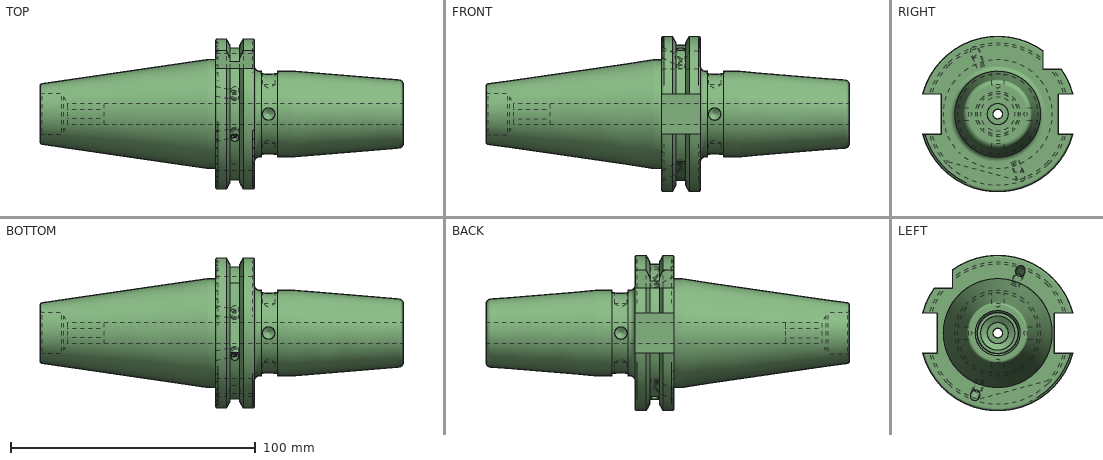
import cadquery as cq
import math


length = 148.4
taper_length = 68.4
taper_slope = 7 / 24 / 2
gauge_radius = 22.3
taper_end_radius = gauge_radius - taper_length * taper_slope
taper_end_fillet = 1.0

flange_start = taper_length + 3.3
flange_end = taper_length + 19.1
flange_radius = 31.8
flange_fillet = 0.9
groove_center = 79.5
groove_floor_radius = 28.2
groove_half_width = 2.0
groove_wall_height = 0.9
groove_flank_angle = 30.0
flank_radius = groove_floor_radius + groove_wall_height
flank_run = (flange_radius - flank_radius) * math.tan(math.radians(groove_flank_angle))
groove_half_mouth = groove_half_width + flank_run

keyway_width = 16.3
keyway_depth_front = 23.2
keyway_depth_back = 24.8
corner_notch_y = 18.5
corner_notch_z = 18.4
groove_flat_distance = 24.0
groove_flat_angle = 15.0

collar_radius = 17.5
collar_end = 90.4
collar_fillet = 2.1
neck_radius = 16.5
neck_end = 97.0
band_end = 103.7
nose_end_radius = 13.8
nose_fillet = 2.1

balance_hole_count = 4
balance_hole_x = 93.3
balance_hole_radius = 2.5
balance_hole_depth = 4.5
drill_tip_angle = 118.0

mouth_radius = 9.2
pilot_radius = 8.5
pilot_depth = 8.2
step_radius = 8.3
step_length = 0.6
thread_radius = 7.0
thread_depth = 9.6
through_radius = 4.3
drill_tip_slope = math.tan(math.radians(drill_tip_angle / 2))
thread_tip_end = thread_depth + (thread_radius - through_radius) / drill_tip_slope

coolant_angles = (20.0, 200.0)
coolant_hole_radius = 2.0
coolant_hole_distance = 27.0
coolant_tilt = 30.0
cross_hole_radius = 1.6
plug_recess = 6.2
plug_length = 1.5

screw_start = thread_tip_end
screw_length = 14.8
screw_hole_radius = 2.0


def revolve_about_axis(outline):
    return outline.close().revolve(360, (0, 0, 0), (1, 0, 0))


def turned_body():
    outline = (
        cq.Workplane("XY")
        .lineTo(0, taper_end_radius)
        .lineTo(taper_length, gauge_radius)
        .lineTo(flange_start, gauge_radius)
        .lineTo(flange_start, flange_radius)
        .lineTo(groove_center - groove_half_mouth, flange_radius)
        .lineTo(groove_center - groove_half_width, flank_radius)
        .lineTo(groove_center - groove_half_width, groove_floor_radius)
        .lineTo(groove_center + groove_half_width, groove_floor_radius)
        .lineTo(groove_center + groove_half_width, flank_radius)
        .lineTo(groove_center + groove_half_mouth, flange_radius)
        .lineTo(flange_end, flange_radius)
        .lineTo(flange_end, collar_radius)
        .lineTo(collar_end, collar_radius)
        .lineTo(collar_end, neck_radius)
        .lineTo(neck_end, neck_radius)
        .lineTo(neck_end, collar_radius)
        .lineTo(band_end, collar_radius)
        .lineTo(length, nose_end_radius)
        .lineTo(length, 0)
    )
    return revolve_about_axis(outline)


def fillet_circle(body, x, radius, size):
    """Round the circular edge of the given radius in the plane at x."""
    margin = 0.01

    def edges_within(limit):
        return cq.selectors.BoxSelector(
            (x - margin, -limit, -limit), (x + margin, limit, limit), boundingbox=True
        )

    only_circle = edges_within(radius + margin) - edges_within(radius - margin)
    return body.edges(only_circle).fillet(size)


def round_edges(body):
    body = fillet_circle(body, 0, taper_end_radius, taper_end_fillet)
    body = fillet_circle(body, flange_start, flange_radius, flange_fillet)
    body = fillet_circle(body, flange_end, flange_radius, flange_fillet)
    body = fillet_circle(body, flange_end, collar_radius, collar_fillet)
    return fillet_circle(body, length, nose_end_radius, nose_fillet)


def bore():
    outline = (
        cq.Workplane("XY")
        .lineTo(0, mouth_radius)
        .lineTo(mouth_radius - pilot_radius, pilot_radius)
        .lineTo(pilot_depth, pilot_radius)
        .lineTo(pilot_depth + step_length, step_radius)
        .lineTo(pilot_depth + step_length, thread_radius)
        .lineTo(thread_depth, thread_radius)
        .lineTo(thread_tip_end, through_radius)
        .lineTo(length, through_radius)
        .lineTo(length, 0)
    )
    return revolve_about_axis(outline)


def flange_box(y_range, z_range):
    """A block through the whole flange between the given Y and Z limits."""
    width = y_range[1] - y_range[0]
    height = z_range[1] - z_range[0]
    block = cq.Workplane("XY").box(flange_end - flange_start, width, height, centered=False)
    return block.translate((flange_start, y_range[0], z_range[0]))


def flange_cutouts():
    beyond = flange_radius + flange_fillet
    keyway_z = (-keyway_width / 2, keyway_width / 2)
    front_keyway = flange_box((-beyond, -keyway_depth_front), keyway_z)
    back_keyway = flange_box((keyway_depth_back, beyond), keyway_z)
    corner_notch = flange_box((corner_notch_y, beyond), (corner_notch_z, beyond))
    groove_flat = (
        cq.Workplane("XY")
        .box(2 * groove_half_width, 2 * beyond, beyond - groove_flat_distance)
        .translate((groove_center, 0, -(beyond + groove_flat_distance) / 2))
        .rotate((0, 0, 0), (1, 0, 0), -groove_flat_angle)
    )
    return front_keyway.union(back_keyway).union(corner_notch).union(groove_flat)


def radial_cylinder(x, radius, bottom, top, angle):
    """A cylinder pointing away from the axis, turned from +Z towards -Y."""
    return (
        cq.Workplane("XY", origin=(x, 0, bottom))
        .circle(radius)
        .extrude(top - bottom)
        .rotate((0, 0, 0), (1, 0, 0), angle)
    )


def balance_hole(angle):
    floor = neck_radius - balance_hole_depth
    tip = floor - balance_hole_radius / drill_tip_slope
    return (
        cq.Workplane("XZ", origin=(balance_hole_x, 0, 0))
        .moveTo(0, tip)
        .lineTo(balance_hole_radius, floor)
        .lineTo(balance_hole_radius, collar_radius)
        .lineTo(0, collar_radius)
        .close()
        .revolve(360, (0, 0, 0), (0, 1, 0))
        .rotate((0, 0, 0), (1, 0, 0), angle)
    )


def coolant_hole(angle):
    """A slanted drilling from the flange face down to the middle of the cross hole."""
    tilt = math.radians(coolant_tilt)
    along = cq.Vector(math.cos(tilt), 0, -math.sin(tilt))
    reach = (groove_center - flange_start) / math.cos(tilt)
    mouth = cq.Vector(flange_start, 0, coolant_hole_distance)
    overshoot = coolant_hole_radius
    start = mouth - along * overshoot
    hole = cq.Solid.makeCylinder(coolant_hole_radius, reach + overshoot, start, along)
    return cq.Workplane(hole).rotate((0, 0, 0), (1, 0, 0), angle)


def cross_hole(angle):
    """A blind radial hole from the groove floor, with the plug at its bottom."""
    bottom = groove_floor_radius - plug_recess - plug_length
    return radial_cylinder(groove_center, cross_hole_radius, bottom, flank_radius, angle)


def plug(angle):
    """A plug that closes the bottom of a cross hole."""
    top = groove_floor_radius - plug_recess
    return radial_cylinder(groove_center, cross_hole_radius, top - plug_length, top, angle)


def adjusting_screw():
    return (
        cq.Workplane("YZ", origin=(screw_start, 0, 0))
        .circle(through_radius)
        .circle(screw_hole_radius)
        .extrude(screw_length)
    )


housing = round_edges(turned_body()).cut(bore()).cut(flange_cutouts())
for index in range(balance_hole_count):
    housing = housing.cut(balance_hole(index * 360 / balance_hole_count))
for angle in coolant_angles:
    housing = housing.cut(coolant_hole(angle)).cut(cross_hole(angle))

screw = adjusting_screw()
plugs = [plug(angle) for angle in coolant_angles]

result = cq.Compound.makeCompound([housing.val(), screw.val(), *[item.val() for item in plugs]])